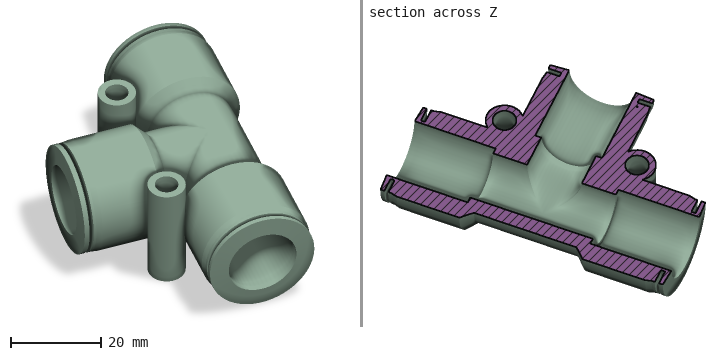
import cadquery as cq


body_radius = 12.75
neck_radius = 10.25
cone_length = body_radius - neck_radius
tube_radius = 8.0
passage_radius = 6.55
face_draft = 0.3
taper_start = 29.9
taper_end = 31.3

run_end = 34.3
run_shoulder = 12.3
run_rim_radius = 12.35
run_sleeve_radius = 8.8
run_collar_start = 33.0
run_body_end = 32.1
branch_end = 34.35
branch_shoulder = 13.0
branch_rim_radius = 12.55
branch_sleeve_radius = 9.45
branch_collar_start = 32.9
branch_body_end = 31.95

socket_floor = run_shoulder + cone_length

boss_offset = 15.95
boss_radius = 4.25
boss_hole_radius = 2.6
boss_height = 2 * body_radius

web_thickness = 3.0
web_inner = 9.0


def arm(mouth, shoulder, rim_radius, sleeve_radius, collar_start, body_end):
    """Solid arm along +X, starting at the tee centre."""
    profile = [
        (0, 0),
        (0, neck_radius),
        (shoulder, neck_radius),
        (shoulder + cone_length, body_radius),
        (taper_start, body_radius),
        (taper_end, rim_radius),
        (body_end, rim_radius),
        (body_end, sleeve_radius),
        (collar_start, sleeve_radius),
        (collar_start, rim_radius),
        (mouth - face_draft, rim_radius),
        (mouth, tube_radius),
        (mouth, 0),
    ]
    return cq.Workplane("XZ").polyline(profile).close().revolve(360, (0, 0, 0), (1, 0, 0))


def bore(mouth):
    """Passage and tube socket of one arm along +X."""
    passage = cq.Workplane("YZ").circle(passage_radius).extrude(mouth)
    socket = (
        cq.Workplane("YZ")
        .workplane(offset=socket_floor)
        .circle(tube_radius)
        .extrude(mouth - socket_floor)
    )
    return passage.union(socket)


def turned(shape, angle):
    """Shape turned about the Z axis through the tee centre."""
    return shape.rotate((0, 0, 0), (0, 0, 1), angle)


def boss_with_web(side):
    """Boss and its web on the +X (side = 1) or -X (side = -1) corner."""
    boss = (
        cq.Workplane("XY")
        .center(side * boss_offset, -boss_offset)
        .circle(boss_radius)
        .extrude(boss_height / 2, both=True)
    )
    web_centre = (web_inner + boss_offset) / 2
    web_side = boss_offset - web_inner
    web = (
        cq.Workplane("XY")
        .box(web_side, web_side, web_thickness)
        .translate((side * web_centre, -web_centre, 0))
    )
    return boss.union(web)


run_arm = arm(
    run_end,
    run_shoulder,
    run_rim_radius,
    run_sleeve_radius,
    run_collar_start,
    run_body_end,
)
branch_arm = arm(
    branch_end,
    branch_shoulder,
    branch_rim_radius,
    branch_sleeve_radius,
    branch_collar_start,
    branch_body_end,
)
result = run_arm.union(turned(run_arm, 180)).union(turned(branch_arm, -90))
for side in (-1, 1):
    result = result.union(boss_with_web(side))

for angle, mouth in ((0, run_end), (180, run_end), (-90, branch_end)):
    result = result.cut(turned(bore(mouth), angle))

boss_holes = (
    cq.Workplane("XY")
    .pushPoints([(-boss_offset, -boss_offset), (boss_offset, -boss_offset)])
    .circle(boss_hole_radius)
    .extrude(boss_height / 2, both=True)
)
result = result.cut(boss_holes)